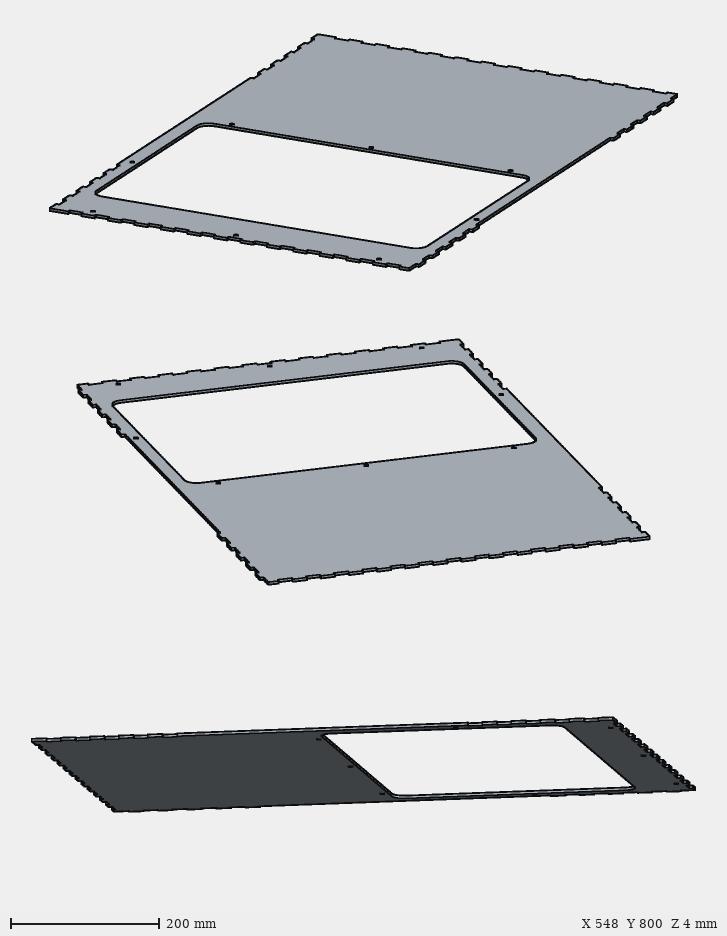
import cadquery as cq

total_width = 548.0
total_length = 800.0
thickness = 4.0

finger_depth = 5.0
finger_width = 20.0
finger_pitch = 2 * finger_width
end_notch_count = 13
end_notch_offset = 28.0
side_finger_count = 5
side_finger_offset = finger_width

body_width = total_width - finger_depth

center_x = total_width / 2

window_width = 500.0
window_bottom = 75.0
window_top = 410.0
window_corner_radius = 18.0

hole_diameter = 6.0
upper_row_y = 418.0
upper_row_offset = 210.0
middle_row_y = 219.0
middle_row_offset = 260.0
lower_row_y = 15.0
lower_row_offset = 216.0


def block(x, y, width, length):
    """A piece as thick as the sheet, placed by its lower left corner."""
    return cq.Workplane("XY").box(width, length, thickness, centered=False).translate((x, y, 0))


def cut_end_notches(plate):
    """Notches along the two short ends."""
    for i in range(end_notch_count):
        x = end_notch_offset + i * finger_pitch
        for y in (0, total_length - finger_depth):
            plate = plate.cut(block(x, y, finger_width, finger_depth))
    return plate


def add_side_fingers(plate):
    """Notches on the -X side and matching tabs on the +X side, near both ends."""
    for i in range(side_finger_count):
        from_end = side_finger_offset + i * finger_pitch
        for y in (from_end, total_length - from_end - finger_width):
            plate = plate.cut(block(0, y, finger_depth, finger_width))
            plate = plate.union(block(body_width, y, finger_depth, finger_width))
    return plate


def window():
    """Rounded rectangular opening."""
    height = window_top - window_bottom
    opening = block(center_x - window_width / 2, window_bottom, window_width, height)
    return opening.edges("|Z").fillet(window_corner_radius)


def screw_holes():
    """Three holes above the window, three below and one on either side."""
    points = [(center_x, upper_row_y), (center_x, lower_row_y)]
    for side in (-1, 1):
        points.append((center_x + side * upper_row_offset, upper_row_y))
        points.append((center_x + side * middle_row_offset, middle_row_y))
        points.append((center_x + side * lower_row_offset, lower_row_y))
    return cq.Workplane("XY").pushPoints(points).circle(hole_diameter / 2).extrude(thickness)


plate = block(0, 0, body_width, total_length)
plate = cut_end_notches(plate)
plate = add_side_fingers(plate)
result = plate.cut(window()).cut(screw_holes())